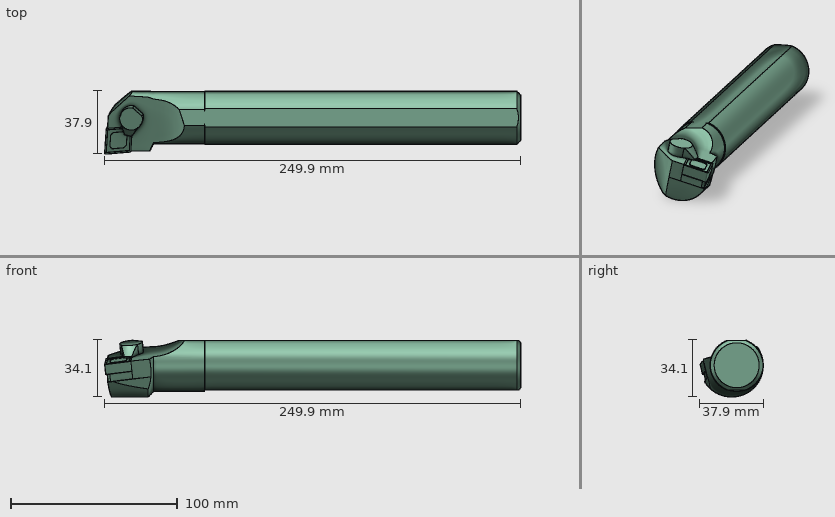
import cadquery as cq
import math


bar_length = 250.0
shank_radius = 16.0
flat_height = 15.0
rear_chamfer = 2.5
neck_radius = 15.7
neck_end = 60.0
shank_chamfer = 0.5

head_radius = 19.0
head_center_y = shank_radius - head_radius
head_center_z = -0.12
head_end = 26.2
neck_start = 29.5

nose_y = -22.0
nose_z = 0.37
rise_along_x = math.tan(math.radians(6))
rise_along_y = math.tan(math.radians(13))
cutting_plane = cq.Plane(
    origin=(0, nose_y, nose_z),
    xDir=(1, 0, rise_along_x),
    normal=(-rise_along_x, -rise_along_y, 1),
)

runout_start = 31.2
runout_radius = 32.5
seat_inset = 0.7
side_face_y = 2.0
side_face_end = 24.5
lower_relief = 2.0
end_face_top_y = 23.5
corner_x = 4.7
corner_y = 26.0
corner_angle = math.radians(42)
far = 75.0

insert_side = 16.0
insert_lead = 5.0
insert_thickness = 6.2
insert_nose_radius = 0.7
shim_thickness = 4.7
seat_depth = insert_thickness + shim_thickness
shim_corner_cut = 1.7
rim_width = 1.0
groove_width = 2.0
groove_depth = 0.5
island_corner_cut = 1.5

clamp_x = 17.2
clamp_y = 23.2
clamp_radius = 6.87
clamp_height = 6.2
clamp_flat_distance = 5.7
clamp_flat_angle = 47.0
clamp_nose_reach = 12.0
clamp_nose_tip_height = 0.7
clamp_nose_half_width = 6.7
clamp_tip_half_width = 2.2
clamp_nose_angle = -103.0


def rhombus(height, bottom, outer_margin=0.0, inner_margin=0.0):
    """Rhombic prism standing on `bottom`, its edges parallel to those of the insert.

    `outer_margin` shortens it at the two cutting edges, `inner_margin` at the two seated edges.
    """
    lead = math.radians(insert_lead)
    start = outer_margin
    end = insert_side - inner_margin
    corners = [
        (
            along * math.cos(lead) + across * math.sin(lead),
            along * math.sin(lead) + across * math.cos(lead),
        )
        for along, across in [(start, start), (end, start), (end, end), (start, end)]
    ]
    base = cq.Workplane(cutting_plane).workplane(offset=bottom)
    return base.polyline(corners).close().extrude(height)


def upright_edges(prism):
    """Edges of a prism that run square to the cutting plane."""
    return prism.edges(cq.selectors.ParallelDirSelector(cutting_plane.zDir))


def make_shank():
    """Round shank with a flat on top and a flat below."""
    length = bar_length - neck_end
    shank = cq.Workplane("YZ").workplane(offset=neck_end).circle(shank_radius).extrude(length)
    shank = shank.faces(">X").chamfer(rear_chamfer)
    shank = shank.faces("<X").chamfer(shank_chamfer)
    flats = cq.Workplane("XY").box(2 * bar_length, 2 * far, 2 * flat_height)
    return shank.intersect(flats)


def make_head_blank():
    """Round head, its taper and the neck with its top flat, before the head faces are cut."""
    head = (
        cq.Workplane("YZ").center(head_center_y, head_center_z)
        .circle(head_radius).extrude(head_end)
    )
    taper = (
        cq.Workplane("YZ", origin=(head_end, 0, 0)).center(head_center_y, head_center_z)
        .circle(head_radius)
        .workplane(offset=neck_start - head_end).center(-head_center_y, -head_center_z)
        .circle(neck_radius).loft(ruled=True)
    )
    neck = (
        cq.Workplane("YZ").workplane(offset=neck_start)
        .circle(neck_radius).extrude(neck_end - neck_start)
    )
    top_cut = cq.Workplane("XY", origin=(0, 0, flat_height)).box(
        2 * neck_end, 2 * far, far, centered=(True, True, False)
    )
    return head.union(taper).union(neck).cut(top_cut)


def make_top_cut():
    """Removes all above the sloping head top, with a round run-out towards the neck."""
    side_plane = cq.Plane(
        origin=cutting_plane.origin, xDir=cutting_plane.xDir, normal=-cutting_plane.yDir
    )
    arc_middle = runout_radius * math.sin(math.radians(45))
    return (
        cq.Workplane(side_plane).moveTo(-far, 0).lineTo(runout_start, 0)
        .threePointArc(
            (runout_start + arc_middle, runout_radius - arc_middle),
            (runout_start + runout_radius, runout_radius),
        )
        .lineTo(-far, runout_radius).close().extrude(far, both=True)
    )


def make_shim():
    """Support plate below the insert, set back from its cutting edges and with a cut nose corner."""
    shim = rhombus(shim_thickness, -seat_depth, outer_margin=seat_inset)
    nose_edge = cq.selectors.NearestToPointSelector(cutting_plane.origin)
    return upright_edges(shim).edges(nose_edge).chamfer(shim_corner_cut)


def make_head_outline():
    """Prism of the head faces with the insert seat, relieved below the level of the shim."""
    slope = math.tan(math.radians(insert_lead))
    end_x = seat_inset / math.cos(math.radians(insert_lead))
    lower_side_y = side_face_y - slope * side_face_end
    end_face = [
        (end_x + slope * end_face_top_y, end_face_top_y),
        (corner_x, corner_y),
        (corner_x + far * math.cos(corner_angle), corner_y + far * math.sin(corner_angle)),
        (far, far),
        (far, -far),
        (neck_start, -far),
    ]
    upper_side = [(neck_start, side_face_y), (end_x + slope * side_face_y, side_face_y)]
    lower_side = [(neck_start, lower_side_y + slope * neck_start), (end_x, lower_side_y + slope * end_x)]
    seat = cq.Workplane(cutting_plane).workplane(offset=-seat_depth)
    upper = seat.polyline(end_face + upper_side).close().extrude(far)
    lower = seat.polyline(end_face + lower_side).close().extrude(-far, taper=lower_relief)
    return upper.cut(rhombus(far + seat_depth, -seat_depth)).union(lower).union(make_shim())


def make_clamp():
    """Flat-topped round clamp with a tapered nose that slopes down onto the insert."""
    column = (
        cq.Workplane(cutting_plane)
        .center(clamp_x, clamp_y).circle(clamp_radius).extrude(clamp_height)
    )
    flat_cut = (
        cq.Workplane(cutting_plane).center(clamp_x, clamp_y)
        .transformed(rotate=(0, 0, clamp_flat_angle)).center(clamp_flat_distance + far / 2, 0)
        .rect(far, far).extrude(far)
    )
    base = cq.Workplane(cutting_plane).center(clamp_x, clamp_y)
    base = base.transformed(rotate=(0, 0, clamp_nose_angle))
    plan = (
        base.polyline([
            (0, clamp_nose_half_width), (0, -clamp_nose_half_width),
            (clamp_nose_reach, -clamp_tip_half_width), (clamp_nose_reach, clamp_tip_half_width),
        ]).close().extrude(clamp_height)
    )
    cone = (
        base.transformed(rotate=(90, 0, 0))
        .polyline([
            (0, 0), (0, clamp_height), (clamp_radius, clamp_height),
            (clamp_nose_reach, clamp_nose_tip_height), (clamp_nose_reach, 0),
        ]).close().revolve(360, (0, 0, 0), (0, 1, 0))
    )
    return column.union(plan.intersect(cone)).cut(flat_cut)


def make_holder():
    """Shank, neck, head, shim and clamp as one body with room for the insert."""
    head = make_head_blank().cut(make_top_cut()).intersect(make_head_outline())
    return head.union(make_shank()).union(make_clamp())


def make_insert():
    """Rhombic insert with a chip groove between its rim and a raised island."""
    island_margin = rim_width + groove_width
    insert = rhombus(insert_thickness, -insert_thickness)
    insert = upright_edges(insert).fillet(insert_nose_radius)
    groove = rhombus(groove_depth, -groove_depth, rim_width, rim_width)
    island = rhombus(groove_depth, -groove_depth, island_margin, island_margin)
    island = upright_edges(island).chamfer(island_corner_cut)
    return insert.cut(groove.cut(island))


holder = make_holder()
insert = make_insert()
result = cq.Compound.makeCompound([holder.val(), insert.val()])